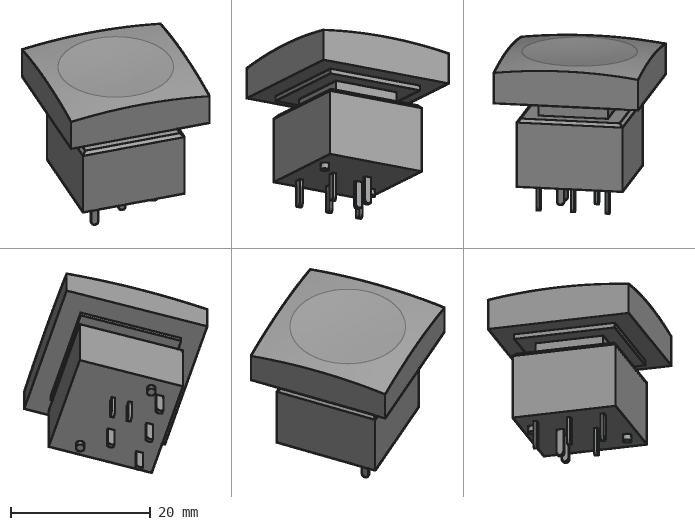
import cadquery as cq
import math

terminal_length = 4.0
housing_height = 10.0
stem_height = 2.2
flange_height = 0.72
total_height = 22.4

cap_side = 21.0
flange_side = 15.0
stem_side = 10.08
housing_side = 15.4
housing_chamfer = 0.5

dome_radius = 78.4
dish_radius = 100.8
dish_rim_diameter = 16.5

peg_diameter = 1.2
peg_length = 0.9
peg_x = 6.0
peg_y = 3.5

terminal_width = 1.0
terminal_thickness = 0.5
terminal_pitch = 2.5
wide_along_x = 0
wide_along_y = 90

housing_bottom = terminal_length
housing_top = housing_bottom + housing_height
flange_bottom = housing_top + stem_height
cap_bottom = flange_bottom + flange_height

peg_places = [(-peg_x, -peg_y), (peg_x, peg_y)]
terminal_places = [
    (-2 * terminal_pitch, -2 * terminal_pitch, wide_along_y),
    (0, -2 * terminal_pitch, wide_along_y),
    (2 * terminal_pitch, -2 * terminal_pitch, wide_along_y),
    (terminal_pitch, 0, wide_along_y),
    (-terminal_pitch, terminal_pitch / 2, wide_along_x),
    (-terminal_pitch, -terminal_pitch / 2, wide_along_x),
]


def square_block(side, bottom, height):
    """Square prism centred on the Z axis, standing on the level `bottom`."""
    return cq.Workplane("XY", origin=(0, 0, bottom)).rect(side, side).extrude(height)


def make_terminal(x, y, turn):
    """Flat blade hanging from the housing, ending in a half-round tip at Z = 0."""
    half_width = terminal_width / 2
    blade = (
        cq.Workplane("XZ")
        .moveTo(-half_width, housing_bottom)
        .lineTo(-half_width, half_width)
        .threePointArc((0, 0), (half_width, half_width))
        .lineTo(half_width, housing_bottom)
        .close()
        .extrude(terminal_thickness / 2, both=True)
    )
    return blade.rotate((0, 0, 0), (0, 0, 1), turn).translate((x, y, 0))


def make_button():
    """Square cap with its flange; the dome and the dish meet in the top rim."""
    rim_radius = dish_rim_diameter / 2
    dome_center = total_height - math.sqrt(dome_radius**2 - rim_radius**2)
    dish_center = total_height + math.sqrt(dish_radius**2 - rim_radius**2)
    dome = cq.Workplane("XY").sphere(dome_radius).translate((0, 0, dome_center))
    dish = cq.Workplane("XY").sphere(dish_radius).translate((0, 0, dish_center))

    dome_top = dome_center + dome_radius
    cap = square_block(cap_side, cap_bottom, dome_top - cap_bottom).intersect(dome).cut(dish)
    flange = square_block(flange_side, flange_bottom, flange_height)
    return cap.union(flange)


def make_switch():
    """Housing with the stem that carries the button, the pegs and the terminals."""
    switch = square_block(housing_side, housing_bottom, housing_height)
    switch = switch.faces(">Z").edges().chamfer(housing_chamfer)
    switch = switch.union(square_block(stem_side, housing_top, stem_height))

    peg_plane = cq.Workplane("XY", origin=(0, 0, housing_bottom - peg_length))
    pegs = peg_plane.pushPoints(peg_places).circle(peg_diameter / 2).extrude(peg_length)
    switch = switch.union(pegs)

    for x, y, turn in terminal_places:
        switch = switch.union(make_terminal(x, y, turn))
    return switch


button = make_button()
switch = make_switch()

result = cq.Compound.makeCompound([button.val(), switch.val()])